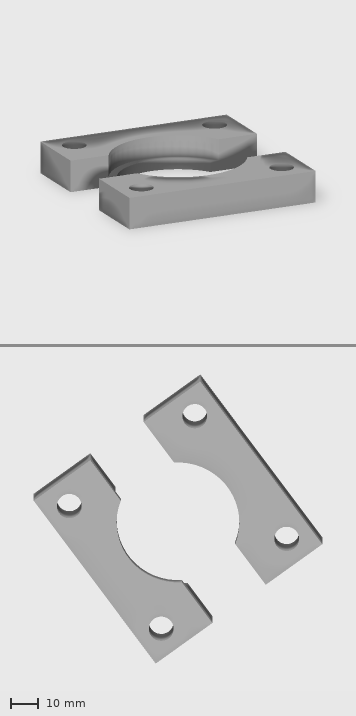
import cadquery as cq

side = 75.0
thickness = 12.0
gap = 24.0
half_width = (side - gap) / 2

bore_radius = 25.2
lip_radius = 22.3
lip_height = 4.0

hole_diameter = 9.0
hole_spacing = 56.5


def make_bore():
    """Stepped round cutter that leaves a lip at the bottom of the bore."""
    lip_opening = cq.Workplane("XY").circle(lip_radius).extrude(thickness)
    seat = (
        cq.Workplane("XY")
        .workplane(offset=lip_height)
        .circle(bore_radius)
        .extrude(thickness - lip_height)
    )
    return lip_opening.union(seat)


def make_bolt_holes():
    """Four through-hole cutters, two for each half."""
    return (
        cq.Workplane("XY")
        .rect(hole_spacing, hole_spacing, forConstruction=True)
        .vertices()
        .circle(hole_diameter / 2)
        .extrude(thickness)
    )


def make_clamp_half(x_direction):
    """Clamp half on the -X (-1) or +X (+1) side of the gap."""
    x_center = x_direction * (gap + half_width) / 2
    block = (
        cq.Workplane("XY")
        .center(x_center, 0)
        .rect(half_width, side)
        .extrude(thickness)
    )
    return block.cut(make_bore()).cut(make_bolt_holes())


clamp_halves = [make_clamp_half(x_direction).val() for x_direction in (-1, 1)]
result = cq.Compound.makeCompound([solid for half in clamp_halves for solid in half.Solids()])